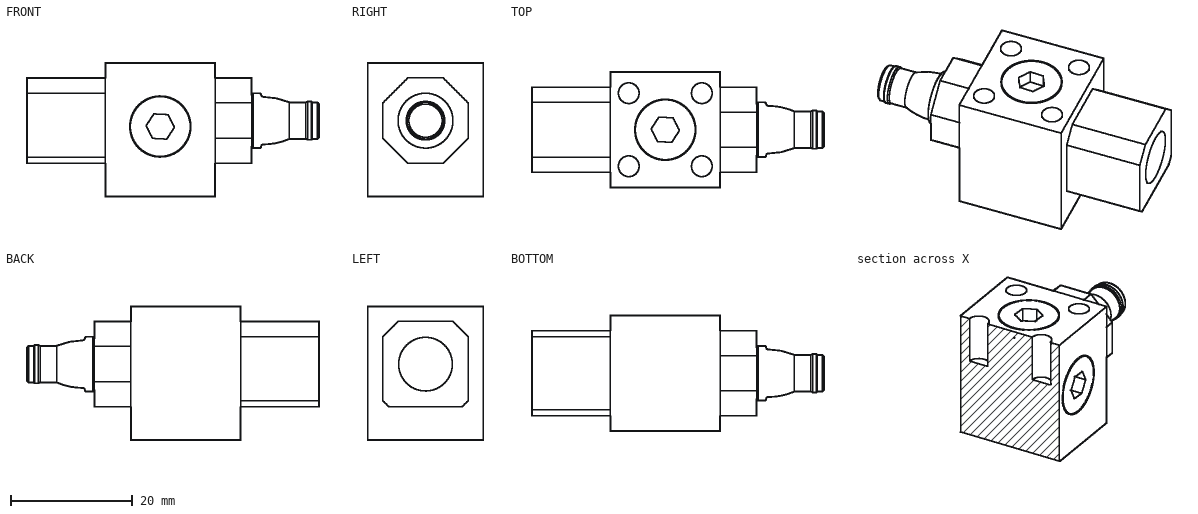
import cadquery as cq
import math

BLOCK_X = 18.0
BLOCK_Y = 19.0
BLOCK_Z = 22.0

AXIS_Z = 12.5
ACROSS_FLATS = 14.0
BODY_LENGTH = 12.9
BODY_TOP_CHAMFER = 2.5
BODY_BOTTOM_CHAMFER = 1.0
BORE_DIAMETER = 8.85
BORE_DEPTH = 3.0
NUT_LENGTH = 6.0
OVERALL_LENGTH = 48.0

COLLAR_RADIUS = 4.5
COLLAR_CHAMFER = 0.3
COLLAR_LENGTH = 1.6
COLLAR_ROUND = 0.3
TAPER_START_RADIUS = 3.95
COLLAR_FILLET = COLLAR_RADIUS - COLLAR_ROUND - TAPER_START_RADIUS
TAPER_MIDDLE = 3.9
TAPER_MIDDLE_RADIUS = 3.75
TAPER_END = 6.1
TAPER_END_RADIUS = 3.05
TUBE_START = 6.2
TUBE_RADIUS = 3.0
BEAD_RADIUS = 3.15
BEAD_START = 8.95
BEAD_WIDTH = 1.0
BEAD_LEFT_RAMP = 0.3
BEAD_RIGHT_RAMP = 0.15
TIP_CHAMFER = 0.3

PLUG_DIAMETER = 10.05
PLUG_GAP = 0.1
PLUG_GAP_DEPTH = 0.2
PLUG_Z = 11.5
SOCKET_FLATS = 4.05
SOCKET_DEPTH = 2.3
SOCKET_TURN = -3.0

HOLE_DIAMETER = 3.4
HOLE_SPACING = 12.0
HOLE_DEPTH = 8.0

BLOCK_LEFT = -BLOCK_X / 2
BLOCK_RIGHT = BLOCK_X / 2
BODY_END = BLOCK_LEFT - BODY_LENGTH
NUT_END = BLOCK_RIGHT + NUT_LENGTH
NIPPLE_LENGTH = BODY_END + OVERALL_LENGTH - NUT_END


def chamfered_prism(x_start, length, top_chamfer, bottom_chamfer):
    """Square bar along +X with its long edges chamfered."""
    bar = cq.Workplane("YZ", origin=(x_start, 0, AXIS_Z)).rect(ACROSS_FLATS, ACROSS_FLATS).extrude(length)
    bar = bar.edges("|X and >Z").chamfer(top_chamfer)
    return bar.edges("|X and <Z").chamfer(bottom_chamfer)


def make_body():
    body = chamfered_prism(BODY_END, BODY_LENGTH, BODY_TOP_CHAMFER, BODY_BOTTOM_CHAMFER)
    bore = cq.Workplane("YZ", origin=(BODY_END, 0, AXIS_Z)).circle(BORE_DIAMETER / 2).extrude(BORE_DEPTH)
    return body.cut(bore)


def make_nut():
    corner = ACROSS_FLATS / (2 + math.sqrt(2))
    return chamfered_prism(BLOCK_RIGHT, NUT_LENGTH, corner, corner)


def make_nipple():
    """Revolved hose nipple: collar, convex taper, tube with a bead, chamfered tip."""
    bead_end = BEAD_START + BEAD_WIDTH
    diagonal = math.sqrt(0.5)
    round_centre = (COLLAR_LENGTH - COLLAR_ROUND, COLLAR_RADIUS - COLLAR_ROUND)
    round_middle = tuple(c + COLLAR_ROUND * diagonal for c in round_centre)
    fillet_centre = (COLLAR_LENGTH + COLLAR_FILLET, TAPER_START_RADIUS + COLLAR_FILLET)
    fillet_middle = tuple(c - COLLAR_FILLET * diagonal for c in fillet_centre)
    profile = (
        cq.Workplane("XY")
        .moveTo(0, 0)
        .lineTo(0, COLLAR_RADIUS - COLLAR_CHAMFER)
        .lineTo(COLLAR_CHAMFER, COLLAR_RADIUS)
        .lineTo(round_centre[0], COLLAR_RADIUS)
        .threePointArc(round_middle, (COLLAR_LENGTH, round_centre[1]))
        .threePointArc(fillet_middle, (fillet_centre[0], TAPER_START_RADIUS))
        .threePointArc((TAPER_MIDDLE, TAPER_MIDDLE_RADIUS), (TAPER_END, TAPER_END_RADIUS))
        .tangentArcPoint((TUBE_START, TUBE_RADIUS), relative=False)
        .lineTo(BEAD_START, TUBE_RADIUS)
        .lineTo(BEAD_START + BEAD_LEFT_RAMP, BEAD_RADIUS)
        .lineTo(bead_end - BEAD_RIGHT_RAMP, BEAD_RADIUS)
        .lineTo(bead_end, TUBE_RADIUS)
        .lineTo(NIPPLE_LENGTH - TIP_CHAMFER, TUBE_RADIUS)
        .lineTo(NIPPLE_LENGTH, TUBE_RADIUS - TIP_CHAMFER)
        .lineTo(NIPPLE_LENGTH, 0)
        .close()
    )
    return profile.revolve(360, (0, 0, 0), (1, 0, 0)).translate((NUT_END, 0, AXIS_Z))


def cut_plug(solid, plane, centre):
    """Mark a flush plug by its thin ring gap and cut its hexagon socket."""
    face = cq.Workplane(plane, origin=centre)
    outer = PLUG_DIAMETER / 2
    gap = face.circle(outer).circle(outer - PLUG_GAP).extrude(-PLUG_GAP_DEPTH)
    corners = SOCKET_FLATS / math.cos(math.pi / 6)
    socket = face.transformed(rotate=(0, 0, SOCKET_TURN)).polygon(6, corners).extrude(-SOCKET_DEPTH)
    return solid.cut(gap).cut(socket)


def cut_mounting_holes(solid):
    holes = (
        cq.Workplane("XY", origin=(0, 0, BLOCK_Z))
        .rect(HOLE_SPACING, HOLE_SPACING, forConstruction=True)
        .vertices()
        .circle(HOLE_DIAMETER / 2)
        .extrude(-HOLE_DEPTH)
    )
    return solid.cut(holes)


block = cq.Workplane("XY").box(BLOCK_X, BLOCK_Y, BLOCK_Z, centered=(True, True, False))
block = cut_plug(block, "XZ", (0, -BLOCK_Y / 2, PLUG_Z))
block = cut_plug(block, "XY", (0, 0, BLOCK_Z))
block = cut_mounting_holes(block)

result = block.union(make_body()).union(make_nut()).union(make_nipple())